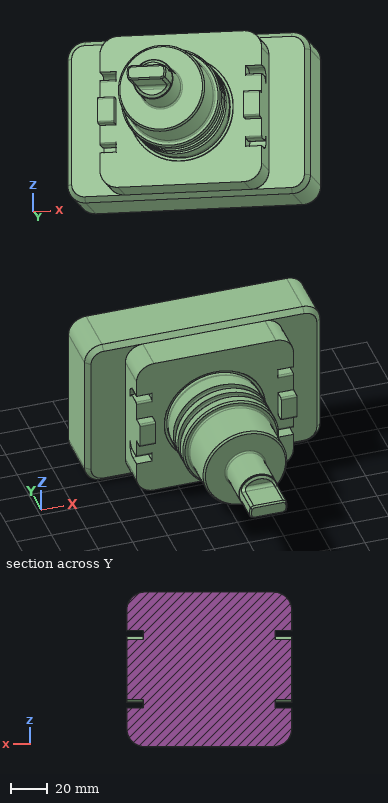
import cadquery as cq


PLATE_WIDTH = 135.0
PLATE_HEIGHT = 90.0
PLATE_DEPTH = 31.0
PLATE_CHAMFER = 2.8
CORNER_RADIUS = 10.0

PAD_WIDTH = 90.0
PAD_HEIGHT = PLATE_HEIGHT - 2 * PLATE_CHAMFER
PAD_DEPTH = 19.5

PIN_DIAMETER = 15.0
PIN_LENGTH = 5.0

LATCH_WIDTH = 9.0
POCKET_HEIGHT = 45.0
POCKET_DEPTH = 11.5
POCKET_CORNER_RADIUS = 5.0
LATCH_HEIGHT = 36.0
LATCH_INNER_CHAMFER = 3.0
LUG_HEIGHT = 14.5
LUG_LENGTH = 6.0
LATCH_EDGE_RADIUS = 1.0

RECESS_DIAMETER = 58.0
RECESS_DEPTH = 1.0

FOOT_FILLET = 0.85

FOOT_DIAMETER = 54.6
COLLAR_DIAMETER = 55.0
GROOVE_DIAMETER = 50.8
BARREL_DIAMETER = 48.0
COLLAR_START = 1.3
FIRST_GROOVE_START = 10.9
GROOVE_WIDTH = 4.0
GROOVE_ROOT_RADIUS = 0.4
GROOVE_PITCH = 8.1
GROOVE_COUNT = 2
COLLAR_END = 28.3
BARREL_END = 53.3
COLLAR_LEAD_LENGTH = 0.8
COLLAR_CHAMFER = 1.0
BARREL_CHAMFER = 1.0

SHAFT_DIAMETER = 22.0
TIP_DIAMETER = 21.5
SHAFT_END = 75.4
SHAFT_END_CHAMFER = 0.24
SHOULDER_END = 77.0
TONGUE_END = 94.0
TONGUE_THICKNESS = 8.0
TONGUE_FILLET = 2.0
TONGUE_END_CHAMFER = 0.9
TONGUE_SIDE_CHAMFER_DROP = 0.9
TONGUE_SIDE_CHAMFER_WIDTH = 1.6


def rounded_block(width, height, depth, front):
    """Block with rounded corners, reaching from depth `front` back toward +Y."""
    block = cq.Workplane("XY").box(width, depth, height).edges("|Y").fillet(CORNER_RADIUS)
    return block.translate((0, depth / 2 - front, 0))


def cylinder(diameter, start, end):
    """Cylinder on the Y axis between two depths."""
    disc = cq.Workplane("XZ", origin=(0, -start, 0)).circle(diameter / 2)
    return disc.extrude(end - start)


def foot_fillet(diameter, depth):
    """Concave ring that blends a cylinder into the face it stands on."""
    radius = diameter / 2
    profile = (
        cq.Workplane("XY")
        .moveTo(0, -depth)
        .lineTo(radius + FOOT_FILLET, -depth)
        .radiusArc((radius, -depth - FOOT_FILLET), -FOOT_FILLET)
        .lineTo(0, -depth - FOOT_FILLET)
        .close()
    )
    return profile.revolve(360, (0, 0, 0), (0, 1, 0))


def make_base():
    """Chamfered plate, raised pad and rear pin."""
    plate = rounded_block(PLATE_WIDTH, PLATE_HEIGHT, PLATE_DEPTH, -PAD_DEPTH)
    plate = plate.faces("<Y").chamfer(PLATE_CHAMFER)
    pad = rounded_block(PAD_WIDTH, PAD_HEIGHT, PAD_DEPTH, 0)
    plate_back = -(PAD_DEPTH + PLATE_DEPTH)
    pin = cylinder(PIN_DIAMETER, plate_back - PIN_LENGTH, plate_back)
    return plate.union(pad).union(pin)


def side_block(height, back, front):
    """Block as wide as a latch, centred on X = 0, between two depths."""
    block = cq.Workplane("XY").box(LATCH_WIDTH, front - back, height)
    return block.translate((0, -(front + back) / 2, 0))


def make_pocket():
    """Side pocket with rounded inner corners."""
    return side_block(POCKET_HEIGHT, -POCKET_DEPTH, 0).edges("|X and >Y").fillet(POCKET_CORNER_RADIUS)


def make_latch():
    """Latch body flush with the pad, with a lug standing out of it."""
    body = side_block(LATCH_HEIGHT, -POCKET_DEPTH, 0)
    body = body.edges("|X and >Y").chamfer(LATCH_INNER_CHAMFER)
    body = body.edges("|X and <Y").fillet(LATCH_EDGE_RADIUS)
    lug = side_block(LUG_HEIGHT, -POCKET_DEPTH, LUG_LENGTH)
    lug = lug.edges("|X and <Y").fillet(LATCH_EDGE_RADIUS)
    return body.union(lug)


def make_barrel():
    """Stepped barrel with grooves for sealing rings."""
    collar = cylinder(COLLAR_DIAMETER, COLLAR_START, COLLAR_END)
    lead_height = (COLLAR_DIAMETER - FOOT_DIAMETER) / 2
    collar = collar.faces(">Y").chamfer(COLLAR_LEAD_LENGTH, lead_height)
    collar = collar.faces("<Y").chamfer(COLLAR_CHAMFER)
    for index in range(GROOVE_COUNT):
        start = FIRST_GROOVE_START + index * GROOVE_PITCH
        end = start + GROOVE_WIDTH
        ring = cylinder(COLLAR_DIAMETER, start, end).cut(cylinder(GROOVE_DIAMETER, start, end))
        root_edges = ring.edges(cq.selectors.RadiusNthSelector(0))
        ring = root_edges.fillet(GROOVE_ROOT_RADIUS)
        collar = collar.cut(ring)
    foot = cylinder(FOOT_DIAMETER, -RECESS_DEPTH, COLLAR_START)
    barrel = cylinder(BARREL_DIAMETER, COLLAR_END, BARREL_END)
    barrel = barrel.faces("<Y").chamfer(BARREL_CHAMFER)
    return foot.union(collar).union(barrel).union(foot_fillet(BARREL_DIAMETER, COLLAR_END))


def flat_cutter():
    """Block that mills the upper flat of the tongue, rounded where it meets the shoulder."""
    half_shaft = SHAFT_DIAMETER / 2
    flat = TONGUE_THICKNESS / 2
    return (
        cq.Workplane("YZ", origin=(-half_shaft, 0, 0))
        .moveTo(-TONGUE_END, flat)
        .lineTo(-SHOULDER_END - TONGUE_FILLET, flat)
        .radiusArc((-SHOULDER_END, flat + TONGUE_FILLET), -TONGUE_FILLET)
        .lineTo(-SHOULDER_END, half_shaft)
        .lineTo(-TONGUE_END, half_shaft)
        .close()
        .extrude(SHAFT_DIAMETER)
    )


def make_shaft():
    """Round shaft ending in a flat tongue with chamfered edges."""
    shaft = cylinder(SHAFT_DIAMETER, BARREL_END, SHAFT_END)
    shaft = shaft.faces("<Y").chamfer(SHAFT_END_CHAMFER)
    tip = cylinder(TIP_DIAMETER, SHAFT_END, TONGUE_END)
    upper_cutter = flat_cutter()
    tip = tip.cut(upper_cutter).cut(upper_cutter.mirror("XY"))
    flat_sides = tip.faces("+Z or -Z").edges("|Y")
    tip = flat_sides.chamfer(TONGUE_SIDE_CHAMFER_DROP, TONGUE_SIDE_CHAMFER_WIDTH)
    tip = tip.faces("<Y").chamfer(TONGUE_END_CHAMFER)
    return shaft.union(tip).union(foot_fillet(SHAFT_DIAMETER, BARREL_END))


def add_latches(base):
    """Cut a pocket into each side of the pad and set a latch in it."""
    for side in (-1, 1):
        offset = (side * (PAD_WIDTH - LATCH_WIDTH) / 2, 0, 0)
        base = base.cut(make_pocket().translate(offset))
        base = base.union(make_latch().translate(offset))
    return base


base = add_latches(make_base())
base = base.cut(cylinder(RECESS_DIAMETER, -RECESS_DEPTH, 0))
result = base.union(make_barrel()).union(make_shaft())